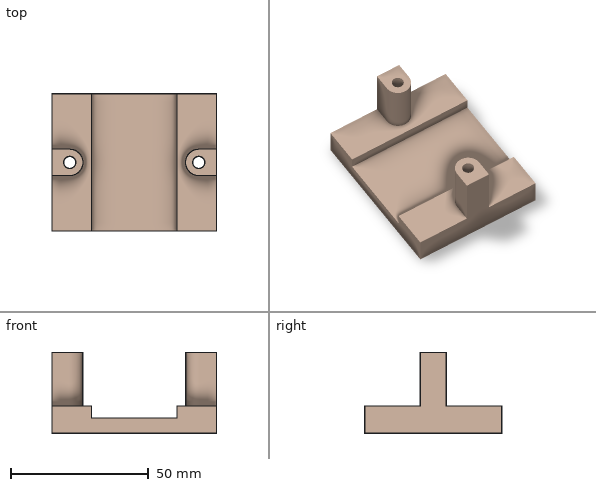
import cadquery as cq

length = 60.0
width = 50.0
total_height = 29.5
base_height = 10.0

channel_width = 31.0
channel_depth = 4.3

post_width = 9.6
post_radius = post_width / 2
hole_inset = 6.55
hole_diameter = 4.3
hole_x = length / 2 - hole_inset


def make_base():
    """Plate resting on Z = 0 with a full-length channel in its top."""
    plate = cq.Workplane("XY").box(length, width, base_height, centered=(True, True, False))
    channel = (
        cq.Workplane("XY")
        .workplane(offset=base_height - channel_depth)
        .rect(channel_width, width)
        .extrude(channel_depth)
    )
    return plate.cut(channel)


def make_post(side):
    """Post on the side -1 or +1, square at the outer edge and round inward."""
    edge_x = side * length / 2
    center_x = side * hole_x
    tip_x = center_x - side * post_radius
    return (
        cq.Workplane("XY")
        .workplane(offset=base_height)
        .moveTo(edge_x, -post_radius)
        .lineTo(center_x, -post_radius)
        .threePointArc((tip_x, 0), (center_x, post_radius))
        .lineTo(edge_x, post_radius)
        .close()
        .extrude(total_height - base_height)
    )


holes = (
    cq.Workplane("XY")
    .pushPoints([(-hole_x, 0), (hole_x, 0)])
    .circle(hole_diameter / 2)
    .extrude(total_height)
)

result = make_base()
for side in (-1, 1):
    result = result.union(make_post(side))
result = result.cut(holes)